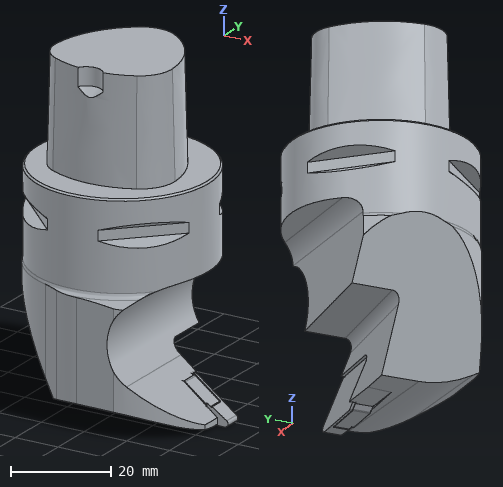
import cadquery as cq
import math


def polar(radius, angle):
    """Point (x, y) at an angle in degrees."""
    return (radius * math.cos(math.radians(angle)), radius * math.sin(math.radians(angle)))


def slope(angle):
    return math.tan(math.radians(angle))


flange_radius = 20.0
flange_chamfer = 0.4
flange_bottom = -20.2
shelf_fillet = 1.2
shelf_angle = 15.6
head_radius = 20.2
blank_radius = 32.0
blank_bottom = -55.0
through = 100.0

bulge_line_angle = 251.7
bulge_line_length = 3.4
bulge_face_y = -21.0
bulge_face_start_x = 2.0
bulge_face_end_x = 10.7
nose_x = 25.0
nose_corner_y = -9.3
nose_arc_middle = (20.0, -16.1)
head_face_y = 0.75

slant_top_z = -19.3
slant_low_point = (-2.0, -48.0)

gullet_radius = 10.85
gullet_center_x = 20.0
gullet_center_z = -30.1
gullet_exit_angle = 38.5

step_y = 11.7
step_edge_z = -15.9
step_angle = 5.6
step_fillet = 3.5
pocket_start_x = -11.1
pocket_start_z = -33.4
pocket_angle = 6.45
pocket_fillet = 2.0

bottom_angle = 3.0
relief_angle = 26.0
relief_blend = 25.0
relief_turn = 5.5
relief_start_y = -13.3
relief_start_z = -47.95
seat_clearance_z = -48.35

groove_count = 4
groove_z = -8.0
groove_floor = 17.7
groove_floor_width = 2.3
groove_mouth_width = 5.2

shank_height = 24.0
shank_taper = 1.43
lobe_reach = 15.15
flank_reach = 13.05
lobe_arc = 8.0
notch_radius = 3.36
notch_center_y = -13.95
notch_depth = 4.1
notch_cone_depth = 2.8

insert_angle = 35.0
insert_edge = 14.2
insert_nose = 0.8
insert_thickness = 4.65
insert_tilt = 2.4
insert_nose_center = (26.2, -49.2)
rim_thickness = 0.7
rim_overhang = 0.2
rim_end_x = 23.3
under_relief_start_x = 22.3
under_relief_step = 0.45
under_relief_angle = 5.0


def make_blank():
    """Turned shape of flange and head, with the conical shelf under the flange."""
    fillet_center_r = flange_radius + shelf_fillet
    fillet_middle = polar(shelf_fillet, 180 + (90 - shelf_angle) / 2)
    fillet_end = polar(shelf_fillet, 270 - shelf_angle)
    shelf_start = (fillet_center_r + fillet_end[0], flange_bottom + fillet_end[1])
    shelf_end_z = shelf_start[1] - (blank_radius - shelf_start[0]) * slope(shelf_angle)
    return (
        cq.Workplane("XZ")
        .lineTo(flange_radius - flange_chamfer, 0)
        .lineTo(flange_radius, -flange_chamfer)
        .lineTo(flange_radius, flange_bottom)
        .threePointArc((fillet_center_r + fillet_middle[0], flange_bottom + fillet_middle[1]), shelf_start)
        .lineTo(blank_radius, shelf_end_z)
        .lineTo(blank_radius, blank_bottom)
        .lineTo(0, blank_bottom)
        .close()
        .revolve(360, (0, 0, 0), (0, 1, 0))
    )


def make_head_outline():
    """Prism of the head: a round with the bulge that carries the nose."""
    line_start = polar(head_radius, bulge_line_angle)
    line_step = polar(bulge_line_length, bulge_line_angle + 90)
    line_end = (line_start[0] + line_step[0], line_start[1] + line_step[1])
    round_start = (math.sqrt(head_radius**2 - head_face_y**2), head_face_y)
    return (
        cq.Workplane("XY")
        .moveTo(*line_start)
        .lineTo(*line_end)
        .tangentArcPoint((bulge_face_start_x, bulge_face_y), relative=False)
        .lineTo(bulge_face_end_x, bulge_face_y)
        .threePointArc(nose_arc_middle, (nose_x, nose_corner_y))
        .lineTo(nose_x, head_face_y)
        .lineTo(*round_start)
        .threePointArc(polar(head_radius, 130), line_start)
        .close()
        .extrude(blank_bottom)
    )


def make_slant_cut():
    low_x, low_z = slant_low_point
    run = (low_x + flange_radius) / (slant_top_z - low_z)
    return (
        cq.Workplane("XZ")
        .polyline([
            (-flange_radius - run, slant_top_z + 1),
            (low_x + run * (low_z - blank_bottom), blank_bottom),
            (-blank_radius, blank_bottom),
            (-blank_radius, slant_top_z + 1),
        ])
        .close()
        .extrude(through / 2, both=True)
    )


def make_gullet_cut():
    exit_offset = polar(gullet_radius, 270 - gullet_exit_angle)
    exit_point = (gullet_center_x + exit_offset[0], gullet_center_z + exit_offset[1])
    exit_end_z = exit_point[1] - (blank_radius - exit_point[0]) * slope(gullet_exit_angle)
    gullet_top = gullet_center_z + gullet_radius
    return (
        cq.Workplane("XZ")
        .moveTo(gullet_center_x, gullet_top)
        .threePointArc((gullet_center_x - gullet_radius, gullet_center_z), exit_point)
        .lineTo(blank_radius, exit_end_z)
        .lineTo(blank_radius, gullet_top)
        .close()
        .extrude(through / 2, both=True)
    )


def make_step_cut():
    """Removes the +Y side of the head, with a rounded inner corner."""
    corner_z = step_edge_z - (flange_radius - step_y) * slope(step_angle)
    outer_z = step_edge_z + (blank_radius - flange_radius) * slope(step_angle)
    return (
        cq.Workplane("YZ")
        .polyline([
            (step_y, corner_z),
            (blank_radius, outer_z),
            (blank_radius, blank_bottom),
            (step_y, blank_bottom),
        ])
        .close()
        .extrude(through / 2, both=True)
        .faces("<Y")
        .edges(">Z")
        .fillet(step_fillet)
    )


def make_pocket_cut():
    """Clears the space in front of the rake face, under a sloping ceiling."""
    start_z = pocket_start_z + (blank_radius + pocket_start_x) * slope(pocket_angle)
    end_z = pocket_start_z - (blank_radius - pocket_start_x) * slope(pocket_angle)
    return (
        cq.Workplane("XZ", origin=(0, head_face_y, 0))
        .polyline([
            (-blank_radius, start_z),
            (blank_radius, end_z),
            (blank_radius, blank_bottom),
            (-blank_radius, blank_bottom),
        ])
        .close()
        .extrude(-blank_radius)
        .faces("<Y")
        .edges(">Z")
        .fillet(pocket_fillet)
    )


def make_bottom_cut():
    """Cuts the bottom flat and the relief, ruled along one oblique direction."""
    along_x, along_y = polar(1, relief_turn)
    bottom_plane = cq.Plane(
        origin=(slant_low_point[0], relief_start_y, relief_start_z),
        xDir=(along_y, -along_x, 0),
        normal=(-along_x, -along_y, slope(bottom_angle)),
    )
    blend_length = relief_blend * slope(relief_angle / 2)
    blend_end = polar(blend_length, relief_angle)
    return (
        cq.Workplane(bottom_plane)
        .moveTo(-through, 0)
        .lineTo(-blend_length, 0)
        .tangentArcPoint(blend_end, relative=False)
        .lineTo(blank_radius, blank_radius * slope(relief_angle))
        .lineTo(blank_radius, -blank_radius)
        .lineTo(-through, -blank_radius)
        .close()
        .extrude(through / 2, both=True)
    )


def make_seat_clearance():
    """Clears the bottom of the head behind the lower corner of the insert."""
    return cq.Workplane("XY", origin=(0, -insert_thickness, seat_clearance_z)).box(
        through, through, through, centered=(True, False, False)
    ).translate((0, 0, -through))


def make_groove_cuts():
    """Trapezoid grooves along chords of the flange, midway between the axes."""
    mouth = flange_radius
    half_floor = groove_floor_width / 2
    half_mouth = groove_mouth_width / 2
    groove = (
        cq.Workplane("XZ", origin=(0, 0, groove_z))
        .polyline([
            (groove_floor, -half_floor),
            (mouth, -half_mouth),
            (mouth, half_mouth),
            (groove_floor, half_floor),
        ])
        .close()
        .extrude(flange_radius, both=True)
    )
    pitch = 360 / groove_count
    return [groove.rotate((0, 0, 0), (0, 0, 1), pitch * (i + 0.5)) for i in range(groove_count)]


def make_shank():
    """Three-lobed polygon of tangent lobe and flank arcs, tapered upwards, with a notch."""
    lobe_center = lobe_reach - lobe_arc
    flank_arc = (lobe_center**2 + flank_reach**2 - lobe_center * flank_reach - lobe_arc**2) / (
        2 * flank_reach - lobe_center - 2 * lobe_arc
    )
    flank_center = polar(flank_arc - flank_reach, -30)
    half_lobe = math.degrees(math.atan2(flank_center[0], lobe_center - flank_center[1]))
    joint_x, joint_y = polar(lobe_arc, 90 - half_lobe)
    joint_reach = math.hypot(joint_x, lobe_center + joint_y)
    joint_angle = math.degrees(math.atan2(joint_x, lobe_center + joint_y))
    outline = cq.Workplane("XY").moveTo(*polar(joint_reach, 90 - joint_angle))
    for lobe in (90, 210, 330):
        outline = outline.threePointArc(polar(lobe_reach, lobe), polar(joint_reach, lobe + joint_angle))
        outline = outline.threePointArc(
            polar(flank_reach, lobe + 60), polar(joint_reach, lobe + 120 - joint_angle)
        )
    shank = outline.close().extrude(shank_height, taper=shank_taper)

    notch = (
        cq.Workplane("XZ", origin=(0, notch_center_y, shank_height))
        .polyline([(0, 0), (notch_radius, 0), (notch_radius, -notch_depth), (0, -notch_depth - notch_cone_depth)])
        .close()
        .revolve(360, (0, 0, 0), (0, 1, 0))
    )
    return shank.cut(notch)


def make_rhombus(inset, y_top, depth):
    """Rhombic plate with rounded corners, shrunk by an inset, reaching down from y_top."""
    nose = insert_nose - inset
    half_angle = insert_angle / 2
    half_long = insert_edge * math.cos(math.radians(half_angle)) - inset / math.sin(math.radians(half_angle))
    half_short = half_long * slope(half_angle)
    nose_to_middle = half_long - nose / math.sin(math.radians(half_angle))
    axis_angle = half_angle + insert_tilt
    back = polar(nose_to_middle, 180 - axis_angle)
    middle = (insert_nose_center[0] + back[0], y_top, insert_nose_center[1] + back[1])
    return (
        cq.Workplane("XZ", origin=middle)
        .polyline([(half_long, 0), (0, half_short), (-half_long, 0), (0, -half_short)])
        .close()
        .extrude(depth)
        .edges("|Y")
        .fillet(nose)
        .rotate(middle, (middle[0], y_top + 1, middle[2]), axis_angle)
    )


def make_insert_blank(rise):
    """Insert with its overhanging rim; rise lifts the top face above the rake plane."""
    rim = make_rhombus(0, rise, rim_thickness + rise)
    core = make_rhombus(rim_overhang, 0, insert_thickness)
    nose_zone = cq.Workplane("XY", origin=(rim_end_x, 0, 0)).box(
        through, through, 2 * through, centered=(False, True, True)
    )
    nose = make_rhombus(0, 0, insert_thickness).intersect(nose_zone)
    return rim.union(core).union(nose)


def make_insert():
    """Insert whose underside is relieved towards the nose."""
    relief_length = blank_radius - under_relief_start_x
    relief_end_y = under_relief_step + relief_length * slope(under_relief_angle)
    under_relief = (
        cq.Workplane("XY", origin=(under_relief_start_x, -insert_thickness, -through / 2))
        .polyline([(0, 0), (0, under_relief_step), (relief_length, relief_end_y), (relief_length, 0)])
        .close()
        .extrude(through)
    )
    return make_insert_blank(0).cut(under_relief)


def make_holder():
    holder = make_blank().intersect(make_head_outline())
    cuts = [make_slant_cut(), make_gullet_cut(), make_step_cut(), make_pocket_cut(), make_bottom_cut()]
    cuts.append(make_seat_clearance())
    cuts += make_groove_cuts()
    cuts.append(make_insert_blank(2 * head_face_y))
    for cut in cuts:
        holder = holder.cut(cut)
    return holder.union(make_shank())


holder = make_holder()
insert = make_insert()
result = cq.Compound.makeCompound([*holder.vals(), *insert.vals()])